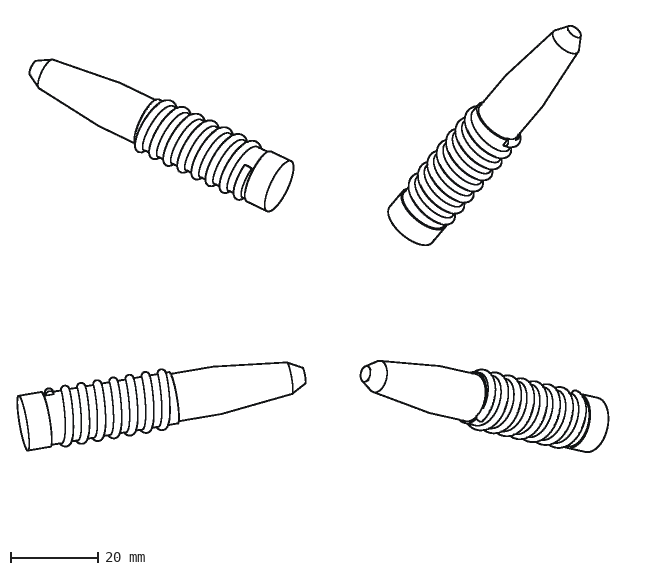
import cadquery as cq
import math

overall_length = 66.0
tip_radius = 1.85
nose_end = 3.4
nose_radius = 3.7
taper_end = 20.3
shank_radius = 5.55
core_start = 30.7
core_radius = 6.0
collar_start = 60.65
collar_radius = 6.4

centre_half_angle = 30.0
centre_depth = tip_radius / math.tan(math.radians(centre_half_angle))

coil_outer_radius = 6.96
wire_radius = 0.96
coil_radius = coil_outer_radius - wire_radius
coil_pitch = 3.78
coil_start = 31.35
coil_end_offset = 24.5
full_turns = 7
coil_turns = full_turns + (180.0 - 2 * coil_end_offset) / 360.0


def make_body():
    """Revolve the half section, with the centre hole as part of its outline."""
    return (
        cq.Workplane("XY")
        .moveTo(centre_depth, 0)
        .lineTo(0, tip_radius)
        .lineTo(nose_end, nose_radius)
        .lineTo(taper_end, shank_radius)
        .lineTo(core_start, shank_radius)
        .lineTo(core_start, core_radius)
        .lineTo(collar_start, core_radius)
        .lineTo(collar_start, collar_radius)
        .lineTo(overall_length, collar_radius)
        .lineTo(overall_length, 0)
        .close()
        .revolve(360, (0, 0, 0), (1, 0, 0))
    )


def make_coil():
    """Sweep the wire along a left-handed helix about Z, then lay it along X."""
    helix = cq.Wire.makeHelix(coil_pitch, coil_pitch * coil_turns, coil_radius, lefthand=True)
    coil = (
        cq.Workplane("XZ")
        .center(coil_radius, 0)
        .circle(wire_radius)
        .sweep(cq.Workplane(helix), isFrenet=True)
    )
    return (
        coil.rotate((0, 0, 0), (0, 1, 0), 90)
        .rotate((0, 0, 0), (1, 0, 0), -coil_end_offset)
        .translate((coil_start, 0, 0))
    )


result = make_body().union(make_coil())